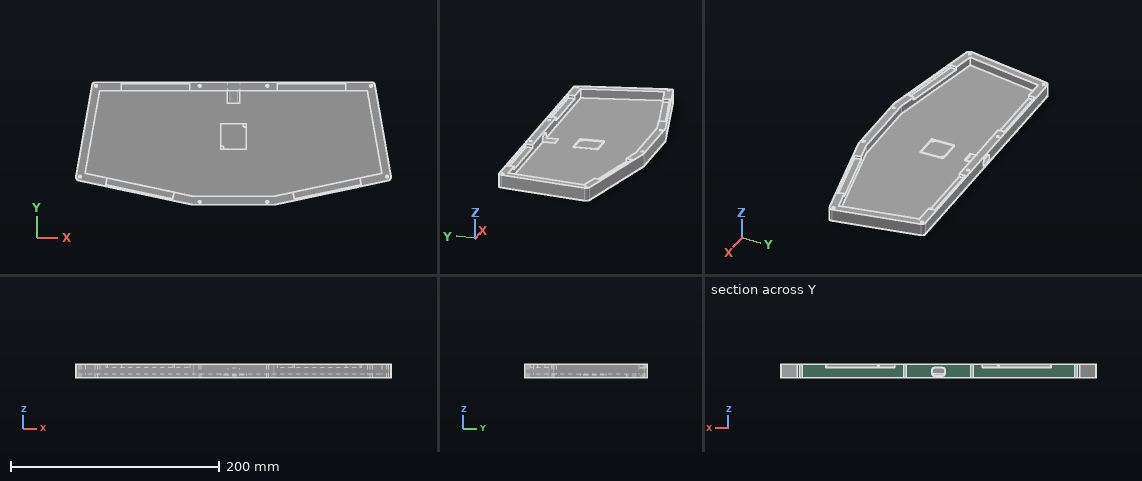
import cadquery as cq
import math

height = 13.0
floor_thickness = 4.0
wall = 8.2
width = 302.5
depth = 118.0
side_angle = math.radians(10)
front_angle = math.radians(12)
front_half_width = 38.7
corner_radius = 3.5

ledge_length = 65.7
ledge_depth = 3.0
ledge_lip = 1.5
rear_ledge_x = 75.0
front_ledge_offset = 53.3

screw_diameter = 2.0
inner_screw_x = 32.5
rear_screw_inset = 3.5
front_screw_inset = 3.0
rear_corner_screw_x = 132.0
side_corner_screw = (147.5, -31.8)

port_width = 12.5
port_height = 8.0
port_sink = 2.0
port_radius = 2.7
port_reach = 12.0

recess_length = 24.5
recess_width = 24.2
recess_depth = 1.0
recess_y = 6.7
post_diameter = 4.0
post_height = 0.45
post_inset = 1.0

rear_y = depth / 2
front_y = -depth / 2

arc_x = width / 2 - corner_radius
arc_y = (
    front_y
    + (arc_x - front_half_width) * math.tan(front_angle)
    + corner_radius / math.cos(front_angle)
)
rear_half_width = (
    arc_x
    + corner_radius / math.cos(side_angle)
    - (rear_y - arc_y) * math.tan(side_angle)
)
side_x = (
    rear_half_width
    + (depth + front_half_width * math.tan(front_angle)) * math.tan(side_angle)
) / (1 + math.tan(front_angle) * math.tan(side_angle))
side_y = front_y + (side_x - front_half_width) * math.tan(front_angle)


def outline():
    right_half = [(front_half_width, front_y), (side_x, side_y), (rear_half_width, rear_y)]
    left_half = [(-x, y) for x, y in reversed(right_half)]
    return cq.Workplane("XY").polyline(right_half + left_half).close()


def make_tray():
    tray = outline().extrude(height)
    for x, y in [(side_x, side_y), (rear_half_width, rear_y)]:
        for side in (-1, 1):
            edge_point = (side * x, y, height / 2)
            tray = tray.edges(cq.selectors.NearestToPointSelector(edge_point)).fillet(corner_radius)
    cavity = outline().offset2D(-wall, "intersection").extrude(height)
    return tray.cut(cavity.translate((0, 0, floor_thickness)))


def make_ledge():
    """Cutter whose outer wall face is at Y = 0, with the tray interior toward -Y."""
    return cq.Workplane("XY").box(
        ledge_length, wall - ledge_lip, ledge_depth, centered=(True, False, False)
    ).translate((0, -wall, height - ledge_depth))


def cut_ledges(tray):
    for side in (-1, 1):
        rear_ledge = make_ledge().translate((side * rear_ledge_x, rear_y, 0))
        turn = 180 + side * math.degrees(front_angle)
        front_ledge = make_ledge().rotate((0, 0, 0), (0, 0, 1), turn).translate((
            side * (front_half_width + front_ledge_offset * math.cos(front_angle)),
            front_y + front_ledge_offset * math.sin(front_angle),
            0,
        ))
        tray = tray.cut(rear_ledge).cut(front_ledge)
    return tray


def cut_screw_holes(tray):
    right_points = [
        (inner_screw_x, rear_y - rear_screw_inset),
        (rear_corner_screw_x, rear_y - rear_screw_inset),
        side_corner_screw,
        (inner_screw_x, front_y + front_screw_inset),
    ]
    points = right_points + [(-x, y) for x, y in right_points]
    holes = cq.Workplane("XY").pushPoints(points).circle(screw_diameter / 2).extrude(height)
    return tray.cut(holes)


def cut_port(tray):
    length = wall + port_reach
    port = cq.Workplane("XY").box(
        port_width, length, port_height, centered=(True, False, False)
    ).edges("|Y").fillet(port_radius)
    return tray.cut(port.translate((0, rear_y - length, floor_thickness - port_sink)))


def cut_recess(tray):
    bottom = floor_thickness - recess_depth
    recess = cq.Workplane("XY").box(
        recess_length, recess_width, recess_depth, centered=(True, True, False)
    )
    post_x = recess_length / 2 - post_inset
    post_y = recess_width / 2 - post_inset
    posts = cq.Workplane("XY").pushPoints(
        [(post_x, post_y), (-post_x, -post_y)]
    ).circle(post_diameter / 2).extrude(post_height)
    return tray.cut(recess.cut(posts).translate((0, recess_y, bottom)))


result = cut_recess(cut_port(cut_screw_holes(cut_ledges(make_tray()))))